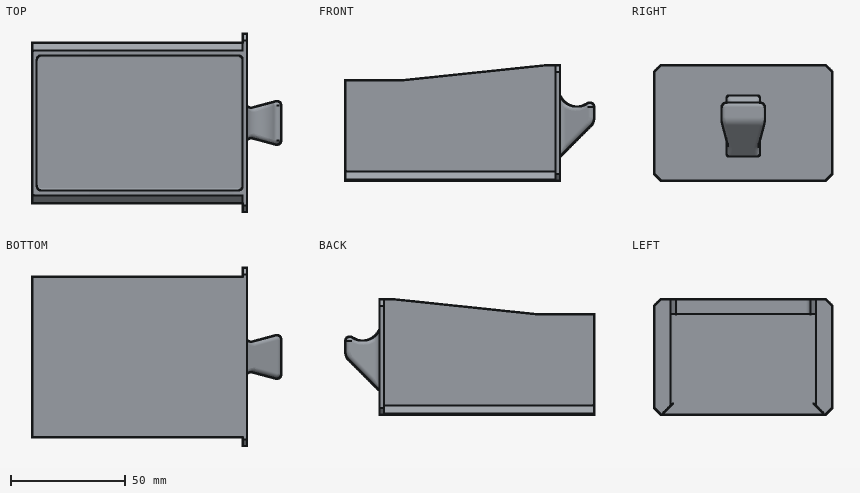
import cadquery as cq
import math

box_length = 92.0
box_width = 63.4
height = 50.6
wall = 2.0
floor_thickness = 4.1
low_rim_height = 44.0
slope_start_x = 25.0
slope_end_x = 88.0
outer_corner_radius = 1.0
cavity_width = 59.0
cavity_corner_radius = 2.0
cavity_floor_radius = 1.0

rail_width = 70.2
rail_lip = 0.6

panel_thickness = 2.0
panel_width = 78.0
panel_chamfer = 3.0
panel_face_x = box_length + panel_thickness

overall_length = 108.9
handle_reach = overall_length - panel_face_x
handle_bottom_z = 10.6
grip_radius = 8.0
grip_center_reach = 7.3
grip_low_z = 32.5
tip_bottom_radius = 5.0
handle_edge_radius = 2.0
side_angle = math.radians(15.0)
waist_radius = 2.5
waist_end_reach = 2.3
waist_end_half_width = 6.8


def make_body():
    """Box with a sloping rim, rounded at its two rear upright edges."""
    side = (
        cq.Workplane("XZ")
        .polyline([
            (0, 0),
            (box_length, 0),
            (box_length, height),
            (slope_end_x, height),
            (slope_start_x, low_rim_height),
            (0, low_rim_height),
        ])
        .close()
        .extrude(box_width / 2, both=True)
    )
    return side.edges("|Z and <X").fillet(outer_corner_radius)


def make_rails():
    """Base slab whose bevelled margins stand out as rails and run in under the rounded corners."""
    half_rail = rail_width / 2
    half_top = box_width / 2 - outer_corner_radius
    top_z = rail_lip + half_rail - half_top
    return (
        cq.Workplane("YZ")
        .polyline([
            (-half_rail, 0),
            (half_rail, 0),
            (half_rail, rail_lip),
            (half_top, top_z),
            (-half_top, top_z),
            (-half_rail, rail_lip),
        ])
        .close()
        .extrude(box_length)
    )


def make_cavity():
    """Rounded cutter that leaves the walls and the floor."""
    cavity = (
        cq.Workplane("XY")
        .workplane(offset=floor_thickness)
        .center(wall + (box_length - wall) / 2, 0)
        .rect(box_length - wall, cavity_width)
        .extrude(height)
    )
    cavity = cavity.edges("|Z").fillet(cavity_corner_radius)
    return cavity.faces("<Z").edges().fillet(cavity_floor_radius)


def make_panel():
    """Upright front panel with its four corners chamfered."""
    panel = cq.Workplane("XY").box(
        panel_thickness, panel_width, height, centered=(False, True, False)
    )
    return panel.edges("|X").chamfer(panel_chamfer).translate((box_length, 0, 0))


def make_handle_side():
    """Side outline of the handle: concave finger grip above, 45 degree slope below."""
    grip_center_z = grip_low_z + grip_radius

    def grip_z(reach):
        return grip_center_z - math.sqrt(grip_radius**2 - (reach - grip_center_reach) ** 2)

    side = (
        cq.Workplane("XZ")
        .moveTo(0, handle_bottom_z)
        .lineTo(handle_reach, handle_bottom_z + handle_reach)
        .lineTo(handle_reach, grip_z(handle_reach))
        .threePointArc((grip_center_reach, grip_low_z), (0, grip_z(0)))
        .close()
        .extrude(panel_width / 2, both=True)
    )
    return side.faces(">X").edges("<Z").fillet(tip_bottom_radius)


def make_handle_plan():
    """Plan outline of the handle: arcs at the waist, straight sides flaring to the tip."""
    arc_center_reach = waist_end_reach - waist_radius * math.sin(side_angle)
    arc_center_y = waist_end_half_width + waist_radius * math.cos(side_angle)
    root_half_width = arc_center_y - math.sqrt(waist_radius**2 - arc_center_reach**2)
    waist_half_width = arc_center_y - waist_radius
    tip_half_width = waist_end_half_width + (handle_reach - waist_end_reach) * math.tan(side_angle)
    return (
        cq.Workplane("XY")
        .moveTo(0, -root_half_width)
        .threePointArc((arc_center_reach, -waist_half_width), (waist_end_reach, -waist_end_half_width))
        .lineTo(handle_reach, -tip_half_width)
        .lineTo(handle_reach, tip_half_width)
        .lineTo(waist_end_reach, waist_end_half_width)
        .threePointArc((arc_center_reach, waist_half_width), (0, root_half_width))
        .close()
        .extrude(height)
    )


def make_handle():
    """Common volume of both outlines, with every edge around its sides and tip rounded."""
    handle = make_handle_side().intersect(make_handle_plan())
    side_edges = "not(|Y or |Z)"
    tip_edges = "(>X and |Z) or (>Z and |Y)"
    return handle.edges(f"({side_edges}) or {tip_edges}").fillet(handle_edge_radius)


drawer = make_body().union(make_rails()).union(make_panel()).cut(make_cavity())
result = drawer.union(make_handle().translate((panel_face_x, 0, 0)))